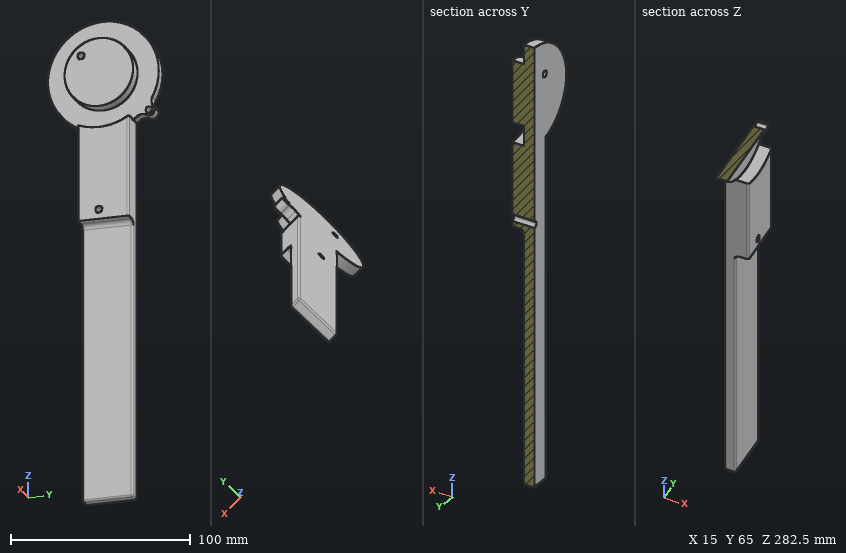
import cadquery as cq
import math

total_length = 282.5
total_depth = 15.0
plate_thickness = 7.0

disk_radius = 32.5
boss_radius = 20.0

handle_width = 30.0
handle_center_y = 2.5
handle_edge_radius = 1.0
handle_bottom_z = disk_radius - total_length

block_bottom_z = -86.7
step_fillet = 2.8

hole_diameter = 4.0
disk_hole_position = (-10.5, 10.7)
handle_hole_position = (0.0, -81.0)

lug_radius = 3.5
lug_distance = 35.0
lug_angle = math.radians(40)
lug_blend_radius = 4.2
lug_position = (lug_distance * math.cos(lug_angle), -lug_distance * math.sin(lug_angle))


def cylinder(center, radius, start_x, end_x):
    """Cylinder along X about a (Y, Z) center."""
    return (
        cq.Workplane("YZ", origin=(start_x, 0, 0))
        .center(*center)
        .circle(radius)
        .extrude(end_x - start_x)
    )


def make_disk_with_lug():
    """Flat disk with a small eyelet lug blended into its rim."""
    disk = cylinder((0, 0), disk_radius, 0, plate_thickness)
    lug = cylinder(lug_position, lug_radius, 0, plate_thickness)
    reach = 2 * lug_radius
    lug_y, lug_z = lug_position
    lug_corners = cq.selectors.BoxSelector(
        (-2.8, lug_y - reach, lug_z - reach),
        (plate_thickness + 2.8, lug_y + reach, lug_z + reach),
    )
    return disk.union(lug).edges("|X").edges(lug_corners).fillet(lug_blend_radius)


def bar(depth, bottom_z):
    """Handle-wide bar from the disk axis down to bottom_z, front face on X = 0."""
    return (
        cq.Workplane("XY", origin=(depth / 2, handle_center_y, bottom_z))
        .rect(depth, handle_width)
        .extrude(-bottom_z)
    )


def make_handle():
    """Thin bar with a thick upper block, its long edges softened, cut to the disk rim."""
    thin_bar = bar(plate_thickness, handle_bottom_z)
    thin_bar = thin_bar.edges("|Z or <Z").fillet(handle_edge_radius)
    block = bar(total_depth, block_bottom_z).edges("|Z").fillet(handle_edge_radius)
    step_corner = cq.selectors.NearestToPointSelector(
        (plate_thickness, handle_center_y, block_bottom_z)
    )
    handle = thin_bar.union(block).edges("|Y").edges(step_corner).fillet(step_fillet)
    return handle.cut(cylinder((0, 0), disk_radius, 0, total_depth))


boss = cylinder((0, 0), boss_radius, 0, total_depth)
result = make_handle().union(make_disk_with_lug()).union(boss)

for hole_position in (disk_hole_position, handle_hole_position, lug_position):
    result = result.cut(cylinder(hole_position, hole_diameter / 2, 0, total_depth))